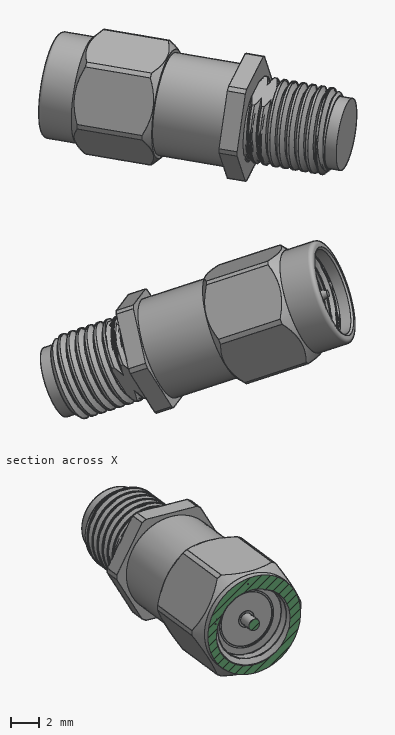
import cadquery as cq
import math

overall_length = 21.8
x_front = -overall_length / 2

sleeve_radius = 3.85
sleeve_length = 2.5
sleeve_edge_radius = 0.3
hex_across_flats = 8.0
hex_across_corners = 9.02
nut_length = 8.5
nut_front_chamfer_radius = 3.85
nut_front_chamfer_length = 0.63
nut_back_chamfer = 0.55

body_radius = 3.72
flange_start = 13.66
flange_end = 15.0

pitch = 25.4 / 36
thread_crest_radius = 3.125
thread_root_radius = 2.67
thread_end = 20.95
thread_end_radius = 2.7
thread_crest_angle = -90
collar_radius = 2.61
neck_half_height = 2.54
neck_end = 16.67

mouth_radius = 3.32
bore_radius = 3.175
bore_length = 0.95
nut_minor_radius = 2.72
nut_major_radius = 3.14
cavity_depth = 3.12
nut_crest_angle = 90

pin_radius = 0.46
pin_tip_radius = 0.25
pin_tip_depth = 0.5
pin_cone_length = 0.75
pin_gap_radius = 0.63
shell_gap_inner_radius = 2.1
shell_gap_outer_radius = 2.23
gap_depth = 0.05

flank_steps = 8

thread_half_angle = math.radians(30)


def cross_section(distance):
    """Workplane across the axis at a distance from the plug end; local x is +Y, local y is +Z."""
    return cq.Workplane(cq.Plane((x_front + distance, 0, 0), (0, 1, 0), (1, 0, 0)))


def cylinder(start, end, radius):
    return cross_section(start).circle(radius).extrude(end - start)


def frustum(start, end, start_radius, end_radius):
    base = cross_section(start).circle(start_radius)
    return base.workplane(offset=end - start).circle(end_radius).loft()


def ring(start, end, inner_radius, outer_radius):
    return cross_section(start).circle(outer_radius).circle(inner_radius).extrude(end - start)


def hexagon(start, end):
    """Hexagonal prism, flats facing +Z and -Z, with small flats cut across its six corners."""
    length = end - start
    full_diameter = hex_across_flats / math.cos(math.pi / 6)
    prism = cross_section(start).polygon(6, full_diameter).extrude(length)
    corner_trim = (
        cross_section(start)
        .transformed(rotate=(0, 0, 30))
        .polygon(6, hex_across_corners / math.cos(math.pi / 6))
        .extrude(length)
    )
    return prism.intersect(corner_trim)


def threaded_rod(start, end, crest_radius, root_radius, crest_angle):
    """Rod with a right-handed 60 degree V thread, whose crest starts at crest_angle from +Y towards +Z.

    Every section across the axis is the same outline, turned once per pitch: a crest arc and two
    spirals that fall from the crest to the root of the groove.
    """
    length = end - start
    radius_per_degree = pitch / 360 / math.tan(thread_half_angle)
    flank_angle = (crest_radius - root_radius) / radius_per_degree
    half_crest = 180 - flank_angle

    def polar(radius, angle):
        turned = math.radians(crest_angle + angle)
        return radius * math.cos(turned), radius * math.sin(turned)

    def flank_point(share, side):
        radius = crest_radius - share * (crest_radius - root_radius)
        return polar(radius, side * (half_crest + share * flank_angle))

    shares = [step / flank_steps for step in range(flank_steps + 1)]
    return (
        cross_section(start)
        .moveTo(*polar(crest_radius, -half_crest))
        .threePointArc(polar(crest_radius, 0), polar(crest_radius, half_crest))
        .spline([flank_point(share, 1) for share in shares[1:]], includeCurrent=True)
        .spline([flank_point(share, -1) for share in reversed(shares[:-1])], includeCurrent=True)
        .close()
        .twistExtrude(length, 360 * length / pitch)
    )


def coupling_nut():
    sleeve = cylinder(0, sleeve_length, sleeve_radius).faces("<X").edges().fillet(sleeve_edge_radius)
    corner_radius = hex_across_corners / 2
    chamfer_envelope = (
        cq.Workplane("XY")
        .moveTo(x_front + sleeve_length, 0)
        .lineTo(x_front + sleeve_length, nut_front_chamfer_radius)
        .lineTo(x_front + sleeve_length + nut_front_chamfer_length, corner_radius)
        .lineTo(x_front + nut_length - nut_back_chamfer, corner_radius)
        .lineTo(x_front + nut_length, corner_radius - nut_back_chamfer)
        .lineTo(x_front + nut_length, 0)
        .close()
        .revolve(360, (0, 0, 0), (1, 0, 0))
    )
    return sleeve.union(hexagon(sleeve_length, nut_length).intersect(chamfer_envelope))


def thread_end_chamfer():
    """Cutter that bevels the last thread turn at 45 degrees down to the end radius."""
    height = 2 * (thread_crest_radius - thread_end_radius)
    thread_end_x = x_front + thread_end
    return (
        cq.Workplane("XY")
        .moveTo(thread_end_x, thread_end_radius)
        .lineTo(thread_end_x + height, thread_end_radius)
        .lineTo(thread_end_x + height, thread_end_radius + height)
        .lineTo(thread_end_x - height, thread_end_radius + height)
        .close()
        .revolve(360, (0, 0, 0), (1, 0, 0))
    )


def jack_end():
    jack = threaded_rod(
        flange_end, thread_end, thread_crest_radius, thread_root_radius, thread_crest_angle
    )
    box_start = flange_start
    box_width = 3 * thread_crest_radius
    box_height = thread_crest_radius
    for side in (1, -1):
        box_middle = side * (neck_half_height + box_height / 2)
        box_face = cross_section(box_start).center(0, box_middle).rect(box_width, box_height)
        jack = jack.cut(box_face.extrude(neck_end - box_start))
    jack = jack.cut(thread_end_chamfer())
    return jack.union(cylinder(thread_end, overall_length, collar_radius))


def plug_cavity():
    """The threaded socket of the nut, as a solid to cut away."""
    mouth = frustum(0, mouth_radius - bore_radius, mouth_radius, bore_radius)
    entry = cylinder(0, bore_length, bore_radius)
    countersink_end = bore_length + bore_radius - nut_minor_radius
    countersink = frustum(bore_length, countersink_end, bore_radius, nut_minor_radius)
    rod = threaded_rod(bore_length, cavity_depth, nut_major_radius, nut_minor_radius, nut_crest_angle)
    return rod.union(countersink).union(entry).union(mouth)


def contact_pin():
    cone_end = pin_tip_depth + pin_cone_length
    cone = frustum(pin_tip_depth, cone_end, pin_tip_radius, pin_radius)
    return cone.union(cylinder(cone_end, cavity_depth + gap_depth, pin_radius))


body = cylinder(nut_length, flange_start, body_radius)
flange = hexagon(flange_start, flange_end)
gap_end = cavity_depth + gap_depth
shell_gap = ring(cavity_depth, gap_end, shell_gap_inner_radius, shell_gap_outer_radius)
pin_gap = cylinder(cavity_depth, gap_end, pin_gap_radius)

result = coupling_nut().union(body).union(flange).union(jack_end())
result = result.cut(plug_cavity()).cut(shell_gap).cut(pin_gap).union(contact_pin())